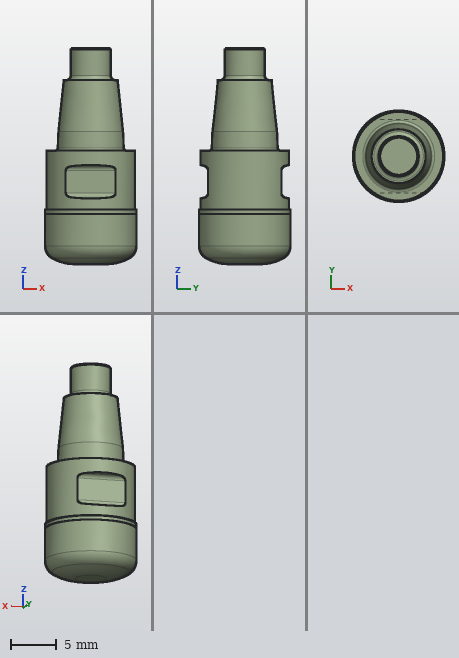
import cadquery as cq
import math

TOTAL_HEIGHT = 23.6
TIP_TOP = 5.5
FLANGE_TOP = 6.0
BARREL_TOP = 12.41
TAPER_BOTTOM = 14.5
SHOULDER_TOP = 20.1

FLANGE_RADIUS = 10.0 / 2
BARREL_RADIUS = 9.7 / 2
NECK_RADIUS = 3.6
TAPER_BOTTOM_RADIUS = 3.55
TAPER_TOP_RADIUS = 2.95
STUD_RADIUS = 4.4 / 2

STUD_CHAMFER = 0.17
STUD_FILLET = 0.5
NECK_FILLET = 0.3

TIP_CORNER_RADIUS = 1.5
TIP_CORNER_TOP = 2.0
TIP_CROWN_RADIUS = FLANGE_RADIUS

FLAT_DISTANCE = 4.01
FLAT_CENTER = 9.02
FLAT_HEIGHT = 3.2
FLAT_WALL_ANGLE = 15.0
FLAT_FILLET = 0.5
CUTTER_MARGIN = 0.47


def fillet_midpoint(center_x, center_z, radius):
    """Middle of the quarter arc below and inward of its centre."""
    offset = radius * math.sqrt(0.5)
    return (center_x - offset, center_z - offset)


def revolve_profile(profile):
    """Turn a closed radius-height profile around the Z axis."""
    return profile.close().revolve(360, (0, 0, 0), (0, 1, 0))


def make_turned_body():
    """Flange, barrel, curved neck, tapered stem and stud."""
    neck_top = BARREL_TOP + NECK_FILLET
    neck_outer = NECK_RADIUS + NECK_FILLET
    fillet_top = SHOULDER_TOP + STUD_FILLET
    fillet_outer = STUD_RADIUS + STUD_FILLET
    profile = (
        cq.Workplane("XZ")
        .moveTo(0, TIP_TOP)
        .lineTo(FLANGE_RADIUS, TIP_TOP)
        .lineTo(FLANGE_RADIUS, FLANGE_TOP)
        .lineTo(BARREL_RADIUS, FLANGE_TOP)
        .lineTo(BARREL_RADIUS, BARREL_TOP)
        .lineTo(neck_outer, BARREL_TOP)
        .threePointArc(fillet_midpoint(neck_outer, neck_top, NECK_FILLET), (NECK_RADIUS, neck_top))
        .tangentArcPoint((TAPER_BOTTOM_RADIUS, TAPER_BOTTOM), relative=False)
        .lineTo(TAPER_TOP_RADIUS, SHOULDER_TOP)
        .lineTo(fillet_outer, SHOULDER_TOP)
        .threePointArc(fillet_midpoint(fillet_outer, fillet_top, STUD_FILLET), (STUD_RADIUS, fillet_top))
        .lineTo(STUD_RADIUS, TOTAL_HEIGHT - STUD_CHAMFER)
        .lineTo(STUD_RADIUS - STUD_CHAMFER, TOTAL_HEIGHT)
        .lineTo(0, TOTAL_HEIGHT)
    )
    return revolve_profile(profile)


def make_flat_cutter():
    """Bar along X with flared walls and filleted roots, on the +Y side."""
    outer_y = BARREL_RADIUS + CUTTER_MARGIN
    half_root = FLAT_HEIGHT / 2
    flare = (outer_y - FLAT_DISTANCE) * math.tan(math.radians(FLAT_WALL_ANGLE))
    half_mouth = half_root + flare
    return (
        cq.Workplane("YZ")
        .polyline([
            (FLAT_DISTANCE, FLAT_CENTER - half_root),
            (outer_y, FLAT_CENTER - half_mouth),
            (outer_y, FLAT_CENTER + half_mouth),
            (FLAT_DISTANCE, FLAT_CENTER + half_root),
        ])
        .close()
        .extrude(BARREL_RADIUS, both=True)
        .edges("|X and <Y")
        .fillet(FLAT_FILLET)
    )


def make_body():
    """Turned body with a wrench flat on each Y side."""
    body = make_turned_body()
    cutter = make_flat_cutter()
    for angle in (0, 180):
        body = body.cut(cutter.rotate((0, 0, 0), (0, 0, 1), angle))
    return body


def make_tip():
    """Cylindrical tip whose corner arc runs tangent into a wider crown arc."""
    corner_x = FLANGE_RADIUS - TIP_CORNER_RADIUS
    center_distance = TIP_CROWN_RADIUS - TIP_CORNER_RADIUS
    blend_angle = math.acos((TIP_CROWN_RADIUS - TIP_CORNER_TOP) / center_distance)
    crown_x = corner_x - center_distance * math.sin(blend_angle)

    def crown_point(angle):
        return (
            crown_x + TIP_CROWN_RADIUS * math.sin(angle),
            TIP_CROWN_RADIUS * (1 - math.cos(angle)),
        )

    corner_mid_angle = (blend_angle + math.pi / 2) / 2
    corner_mid = (
        corner_x + TIP_CORNER_RADIUS * math.sin(corner_mid_angle),
        TIP_CORNER_TOP - TIP_CORNER_RADIUS * math.cos(corner_mid_angle),
    )
    profile = (
        cq.Workplane("XZ")
        .lineTo(crown_x, 0)
        .threePointArc(crown_point(blend_angle / 2), crown_point(blend_angle))
        .threePointArc(corner_mid, (FLANGE_RADIUS, TIP_CORNER_TOP))
        .lineTo(FLANGE_RADIUS, TIP_TOP)
        .lineTo(0, TIP_TOP)
    )
    return revolve_profile(profile)


body = make_body()
tip = make_tip()
result = cq.Compound.makeCompound([body.val(), tip.val()])